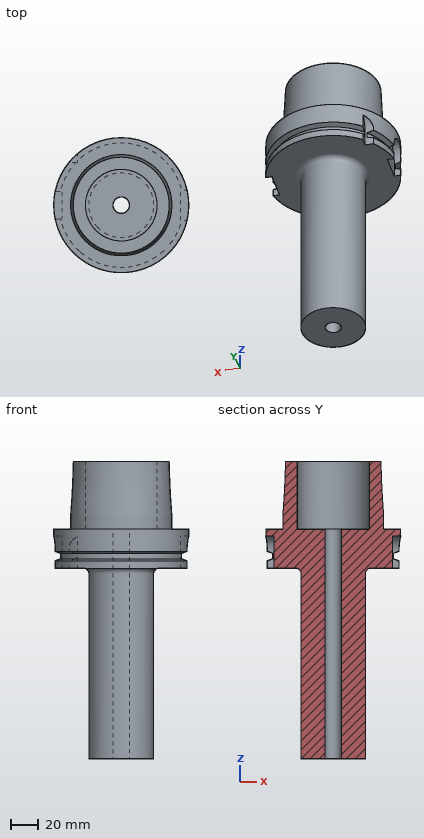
import cadquery as cq
import math

total_length = 220.0
taper_length = 40.0
collar_length = 10.0
flange_height = 29.0
shank_length = taper_length + collar_length
stem_end_z = shank_length - total_length

collar_radius = 75.0 / 2
taper_ratio = 1 / 10
taper_tip_radius = collar_radius - taper_length * taper_ratio / 2
flange_radius = 100.0 / 2
stem_radius = 48.0 / 2
stem_fillet = 4.0

groove_center_z = -20.0
groove_mouth = 7.0
groove_floor_width = 4.0
groove_floor_radius = 46.1

bore_radius = 53.0 / 2
bore_depth = shank_length
through_hole_radius = 12.0 / 2

slot_width = 20.5
wide_slot_width = 22.5
slot_top_z = -5.2
drive_slot_floor = 44.0
notch_floor = 32.3
notch_inner_y = 31.5


def make_body():
    """Revolve the outer outline: taper, collar, grooved flange, fillet and stem."""
    mouth = groove_mouth / 2
    floor = groove_floor_width / 2
    fillet_end_z = -flange_height - stem_fillet
    arc_reach = stem_fillet * (1 - math.sqrt(0.5))
    fillet_middle = (stem_radius + arc_reach, -flange_height - arc_reach)
    outline = (
        cq.Workplane("YZ")
        .moveTo(0, shank_length)
        .lineTo(taper_tip_radius, shank_length)
        .lineTo(collar_radius, collar_length)
        .lineTo(collar_radius, 0)
        .lineTo(flange_radius, 0)
        .lineTo(flange_radius, groove_center_z + mouth)
        .lineTo(groove_floor_radius, groove_center_z + floor)
        .lineTo(groove_floor_radius, groove_center_z - floor)
        .lineTo(flange_radius, groove_center_z - mouth)
        .lineTo(flange_radius, -flange_height)
        .lineTo(stem_radius + stem_fillet, -flange_height)
        .threePointArc(fillet_middle, (stem_radius, fillet_end_z))
        .lineTo(stem_radius, stem_end_z)
        .lineTo(0, stem_end_z)
        .close()
    )
    return outline.revolve(360, (0, 0, 0), (0, 1, 0))


def make_bores():
    """Wide blind bore in the taper and a narrow hole through the whole part."""
    bore_floor = cq.Workplane("XY").workplane(offset=shank_length - bore_depth)
    bore = bore_floor.circle(bore_radius).extrude(bore_depth)
    stem_end = cq.Workplane("XY").workplane(offset=stem_end_z)
    hole = stem_end.circle(through_hole_radius).extrude(total_length)
    return bore.union(hole)


def make_slot(width, center_y, floor_distance):
    """Slot cutter on the -X side, reaching inward to a flat floor."""
    radius = width / 2
    arc_center_z = slot_top_z - radius
    return (
        cq.Workplane("YZ")
        .workplane(offset=-flange_radius)
        .moveTo(center_y - radius, -flange_height)
        .lineTo(center_y - radius, arc_center_z)
        .threePointArc((center_y, slot_top_z), (center_y + radius, arc_center_z))
        .lineTo(center_y + radius, -flange_height)
        .close()
        .extrude(flange_radius - floor_distance)
    )


drive_slot = make_slot(slot_width, 0, drive_slot_floor)
wide_drive_slot = make_slot(wide_slot_width, 0, drive_slot_floor).mirror("YZ")
orientation_notch = make_slot(slot_width, notch_inner_y + slot_width / 2, notch_floor)

result = make_body().cut(make_bores())
result = result.cut(drive_slot).cut(wide_drive_slot)
result = result.cut(orientation_notch)